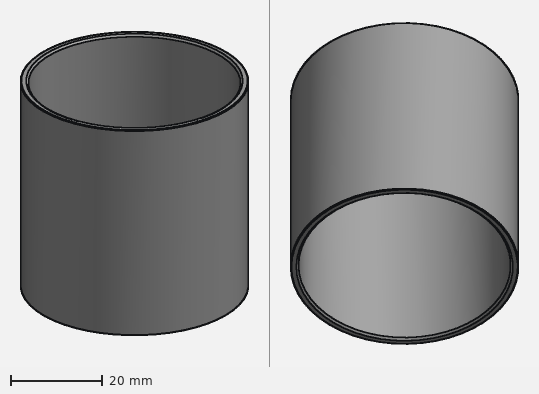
import cadquery as cq

outer_diameter = 50.0
length = 50.0
bore_diameter = 46.5
outer_chamfer = 0.2
bore_chamfer = 0.5

outer_radius = outer_diameter / 2
bore_radius = bore_diameter / 2

wall_section = (
    cq.Workplane("XZ")
    .moveTo(bore_radius + bore_chamfer, 0)
    .lineTo(outer_radius - outer_chamfer, 0)
    .lineTo(outer_radius, outer_chamfer)
    .lineTo(outer_radius, length - outer_chamfer)
    .lineTo(outer_radius - outer_chamfer, length)
    .lineTo(bore_radius + bore_chamfer, length)
    .lineTo(bore_radius, length - bore_chamfer)
    .lineTo(bore_radius, bore_chamfer)
    .close()
)

result = wall_section.revolve(360, (0, 0, 0), (0, 1, 0))